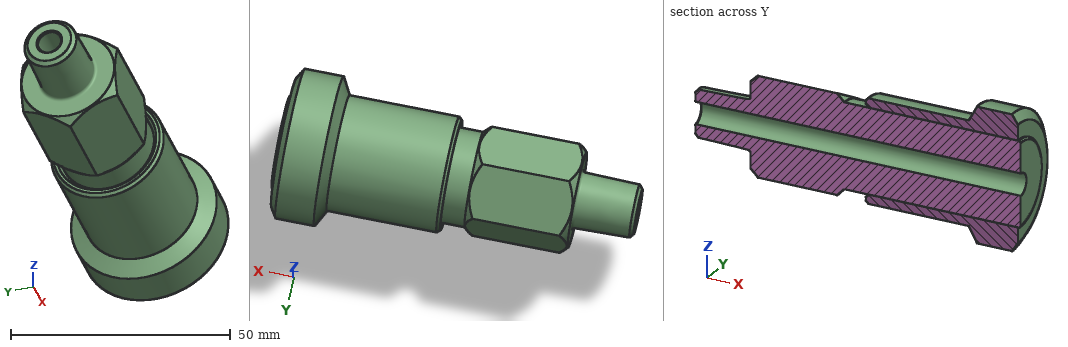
import cadquery as cq
import math

total_length = 83.1

bore_diameter = 5.6
bore_mouth_diameter = 6.1
tip_face_diameter = 10.4
nozzle_tip_diameter = 12.4
nozzle_root_diameter = 12.95
tip_chamfer_length = 0.8
root_fillet = 0.75
hex_start = 14.1
hex_end = 38.1
hex_corner_diameter = 25.9
hex_chamfer = 1.9
shank_diameter = 22.2
shank_end_chamfer = 0.5

sleeve_start = 43.4
grip_diameter = 26.9
grip_chamfer = 0.75
mouth_diameter = 23.75
flange_diameter = 34.8
flange_cone_start = 69.7
flange_rim_start = 71.85
flange_rim_end = 80.8
flange_face_diameter = 30.1
sleeve_end = 82.3


def revolve_about_x(profile):
    return profile.close().revolve(360, (0, 0, 0), (1, 0, 0))


def make_nozzle():
    tip_radius = nozzle_tip_diameter / 2
    root_radius = nozzle_root_diameter / 2
    fillet_start = hex_start - root_fillet
    fillet_middle = root_fillet * math.sqrt(0.5)
    profile = (
        cq.Workplane("XY")
        .lineTo(0, tip_face_diameter / 2)
        .lineTo(tip_chamfer_length, tip_radius)
        .lineTo(fillet_start, root_radius)
        .threePointArc(
            (fillet_start + fillet_middle, root_radius + root_fillet - fillet_middle),
            (hex_start, root_radius + root_fillet),
        )
        .lineTo(hex_start, 0)
    )
    return revolve_about_x(profile)


def make_hexagon():
    """Hexagon with corners at +Z and -Z, its corners turned off at both ends."""
    length = hex_end - hex_start
    prism = (
        cq.Workplane("YZ", origin=(hex_start, 0, 0))
        .transformed(rotate=(0, 0, 90))
        .polygon(6, hex_corner_diameter)
        .extrude(length)
    )
    turned_envelope = (
        cq.Workplane("YZ", origin=(hex_start, 0, 0))
        .circle(hex_corner_diameter / 2)
        .extrude(length)
        .faces("<X or >X")
        .chamfer(hex_chamfer)
    )
    return prism.intersect(turned_envelope)


def make_shank():
    return (
        cq.Workplane("YZ", origin=(hex_end, 0, 0))
        .circle(shank_diameter / 2)
        .extrude(total_length - hex_end)
        .faces(">X")
        .chamfer(shank_end_chamfer)
    )


def make_bore():
    """Through bore with a small 45-degree countersink at the tip."""
    bore_radius = bore_diameter / 2
    mouth_radius = bore_mouth_diameter / 2
    profile = (
        cq.Workplane("XY")
        .lineTo(0, mouth_radius)
        .lineTo(mouth_radius - bore_radius, bore_radius)
        .lineTo(total_length, bore_radius)
        .lineTo(total_length, 0)
    )
    return revolve_about_x(profile)


def make_core():
    return make_nozzle().union(make_hexagon()).union(make_shank()).cut(make_bore())


def make_sleeve():
    """Flanged grip that fits around the shank, with a countersunk front mouth."""
    grip_radius = grip_diameter / 2
    flange_radius = flange_diameter / 2
    hole_radius = shank_diameter / 2
    mouth_radius = mouth_diameter / 2
    profile = (
        cq.Workplane("XY")
        .moveTo(sleeve_start, mouth_radius)
        .lineTo(sleeve_start, grip_radius - grip_chamfer)
        .lineTo(sleeve_start + grip_chamfer, grip_radius)
        .lineTo(flange_cone_start, grip_radius)
        .lineTo(flange_rim_start, flange_radius)
        .lineTo(flange_rim_end, flange_radius)
        .lineTo(sleeve_end, flange_face_diameter / 2)
        .lineTo(sleeve_end, hole_radius)
        .lineTo(sleeve_start + mouth_radius - hole_radius, hole_radius)
    )
    return revolve_about_x(profile)


core = make_core()
sleeve = make_sleeve()
result = cq.Compound.makeCompound([core.val(), sleeve.val()])